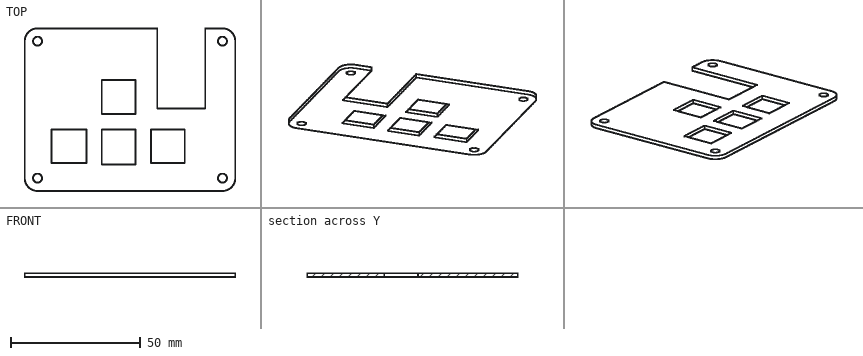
import cadquery as cq

length = 81.47
width = 62.93
thickness = 1.5
corner_radius = 5.0

hole_diameter = 3.4
hole_spacing_x = length - 2 * corner_radius
hole_spacing_y = width - 2 * corner_radius

notch_width = 18.5
notch_depth = 31.0
notch_right_margin = 11.7

key_size = 13.0
side_key_depth = 12.8
left_key_width = 13.4
middle_key_depth = 13.45
key_pitch = 19.05
middle_key_x = -4.4
left_key_x = -23.6
key_row_back_y = -7.73
rear_key_back_y = 11.4


def make_plate():
    blank = cq.Workplane("XY").box(length, width, thickness, centered=(True, True, False))
    return blank.edges("|Z").fillet(corner_radius)


def drill_screw_holes(body):
    return (
        body.faces(">Z")
        .workplane(origin=(0, 0, thickness))
        .rect(hole_spacing_x, hole_spacing_y, forConstruction=True)
        .vertices()
        .hole(hole_diameter)
    )


def cut_window(body, center_x, back_y, size_x, size_y):
    """Cut a rectangular through window, placed by its X centre and its back edge."""
    window = (
        cq.Workplane("XY")
        .center(center_x, back_y - size_y / 2)
        .rect(size_x, size_y)
        .extrude(thickness)
    )
    return body.cut(window)


def cut_notch(body):
    center_x = length / 2 - notch_right_margin - notch_width / 2
    return cut_window(body, center_x, width / 2, notch_width, notch_depth)


def cut_key_windows(body):
    windows = [
        (left_key_x, key_row_back_y, left_key_width, side_key_depth),
        (middle_key_x, key_row_back_y, key_size, middle_key_depth),
        (middle_key_x + key_pitch, key_row_back_y, key_size, side_key_depth),
        (middle_key_x, rear_key_back_y, key_size, key_size),
    ]
    for center_x, back_y, size_x, size_y in windows:
        body = cut_window(body, center_x, back_y, size_x, size_y)
    return body


plate = make_plate()
plate = drill_screw_holes(plate)
plate = cut_notch(plate)
result = cut_key_windows(plate)